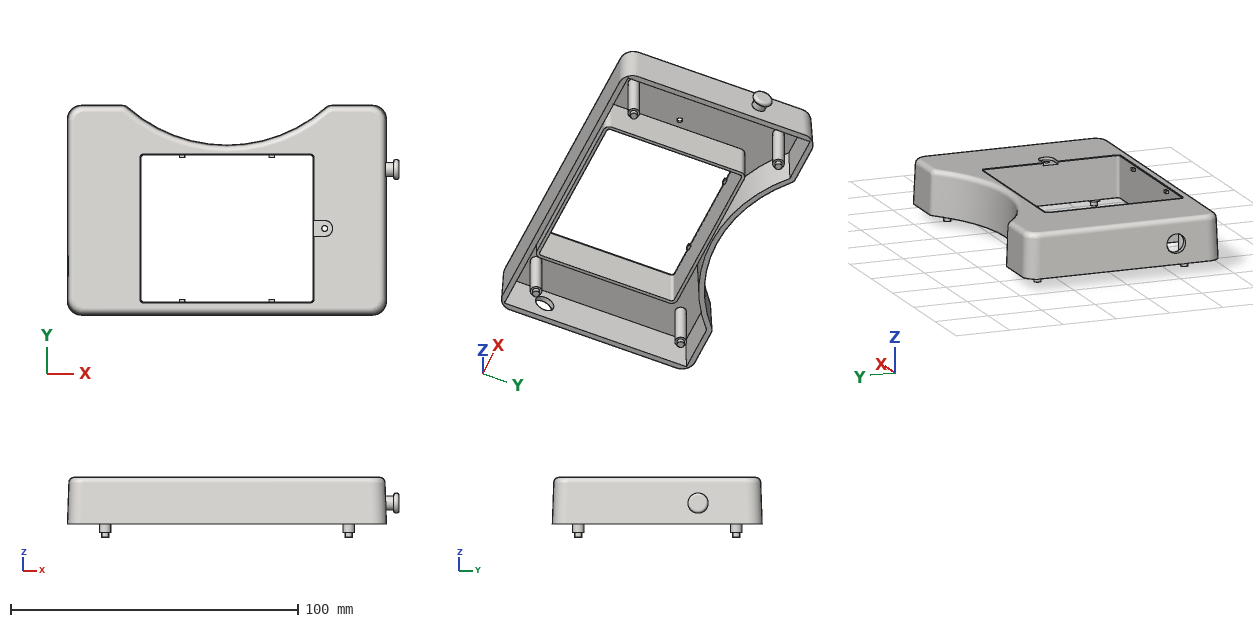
import cadquery as cq
import math

overall_length = 115.5
length = 111.1
width = 73.1
height = 16.3
draft_angle = 2.0
corner_radius = 5.0
top_fillet = 2.0
wall = 2.0

notch_radius = 52.0
notch_depth = 13.9
notch_corner_radius = 3.0

window_length = 59.9
window_width = 51.2
window_y = -6.4
window_corner_radius = 1.0
window_wall = 1.2
window_wall_gap = 0.8
ledge_width = 0.3
ledge_depth = 0.2

tab_length = 2.0
tab_reach = 0.9
tab_height = 0.9
tab_drop = 1.0
tab_offset = 15.6

seat_width = 5.5
seat_depth = 1.0
seat_hole_offset = 4.0
seat_hole_diameter = 2.0

side_hole_diameter = 6.9
side_hole_y = -19.4
side_hole_z = 7.5

knob_y = 14.2
knob_z = 7.3
knob_end_x = overall_length - length / 2
stem_diameter = 5.0
head_diameter = 7.0
head_thickness = 2.0
head_fillet = 0.9

peg_x = 42.4
peg_y = 27.5
peg_diameter = 4.0
peg_reach = 3.0
pin_diameter = 2.5
pin_reach = 1.6

draft_slope = math.tan(math.radians(draft_angle))
ceiling_z = height - wall


def drafted_block(inset, block_height):
    """Block with the notch, all its sides leaning inwards at the draft angle."""
    block = (
        cq.Workplane("XY")
        .rect(length - 2 * inset, width - 2 * inset)
        .extrude(block_height, taper=draft_angle)
    )
    bottom_radius = notch_radius + inset
    top_radius = bottom_radius + block_height * draft_slope
    notch_center = cq.Vector(0, width / 2 - notch_depth + notch_radius, 0)
    notch = cq.Solid.makeCone(bottom_radius, top_radius, block_height, notch_center)
    return block.cut(cq.Workplane(notch))


def side_edges(x_min, x_max):
    """Selects the rising edges whose distance from the YZ plane lies in a range."""

    def keep(edge):
        box = edge.BoundingBox()
        return box.zlen > height / 2 and x_min < abs(edge.Center().x) < x_max

    return keep


def outer_body():
    body = drafted_block(0, height)
    notch_limit = length / 2 - 2 * corner_radius
    corners = body.edges().filter(side_edges(notch_limit, length / 2))
    body = corners.fillet(corner_radius)
    notch_corners = body.edges().filter(side_edges(0, notch_limit))
    body = notch_corners.fillet(notch_corner_radius)
    return body.faces(">Z").edges().fillet(top_fillet)


def window_block(grow, bottom_z, top_z):
    """Rounded block of the window size, grown by the same amount on every side."""
    return (
        cq.Workplane("XY", origin=(0, window_y, bottom_z))
        .rect(window_length + 2 * grow, window_width + 2 * grow)
        .extrude(top_z - bottom_z)
        .edges("|Z")
        .fillet(window_corner_radius + grow)
    )


def tabs():
    points = [
        (x, window_y + side * (window_width - tab_reach) / 2)
        for x in (-tab_offset, tab_offset)
        for side in (-1, 1)
    ]
    return (
        cq.Workplane("XY", origin=(0, 0, height - tab_drop - tab_height))
        .pushPoints(points)
        .rect(tab_length, tab_reach)
        .extrude(tab_height)
    )


def cylinder_z(x, y, diameter, bottom_z, top_z):
    base = cq.Workplane("XY", origin=(x, y, bottom_z))
    return base.circle(diameter / 2).extrude(top_z - bottom_z)


def cylinder_x(y, z, diameter, start_x, end_x):
    base = cq.Workplane("YZ", origin=(start_x, y, z))
    return base.circle(diameter / 2).extrude(end_x - start_x)


def add_pegs(body):
    for x in (-peg_x, peg_x):
        for y in (-peg_y, peg_y):
            body = body.union(cylinder_z(x, y, peg_diameter, -peg_reach, ceiling_z))
            body = body.union(cylinder_z(x, y, pin_diameter, -peg_reach - pin_reach, 0))
    return body


def knob():
    head_x = knob_end_x - head_thickness
    stem = cylinder_x(knob_y, knob_z, stem_diameter, length / 2 - wall, head_x)
    head = cylinder_x(knob_y, knob_z, head_diameter, head_x, knob_end_x)
    return stem.union(head.edges().fillet(head_fillet))


def side_hole():
    outer_x = -length / 2
    return cylinder_x(side_hole_y, side_hole_z, side_hole_diameter, outer_x, outer_x + 2 * wall)


def cut_screw_seat(body):
    floor_z = height - seat_depth
    hole_x = window_length / 2 + seat_hole_offset
    straight = (
        cq.Workplane("XY", origin=(hole_x - seat_hole_offset / 2, window_y, floor_z))
        .rect(seat_hole_offset, seat_width)
        .extrude(seat_depth)
    )
    body = body.cut(straight).cut(cylinder_z(hole_x, window_y, seat_width, floor_z, height))
    return body.cut(cylinder_z(hole_x, window_y, seat_hole_diameter, 0, height))


result = outer_body().cut(drafted_block(wall, ceiling_z))
result = add_pegs(result)

result = result.union(window_block(window_wall, window_wall_gap, ceiling_z))
result = result.cut(window_block(0, 0, height))
result = result.cut(window_block(ledge_width, height - ledge_depth, height))
result = result.union(tabs())

result = cut_screw_seat(result)
result = result.cut(side_hole())
result = result.union(knob())